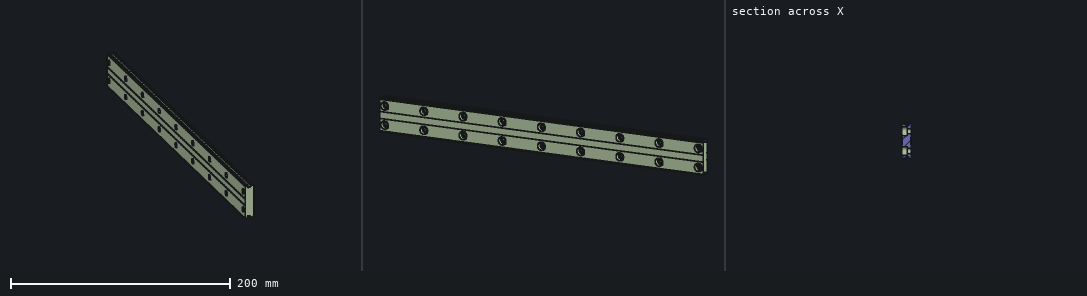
import cadquery as cq
import math

length = 330.0
thickness = 9.0
height = 33.0

lip_chamfer = 0.5
lip_top_width = 1.7
lip_wall_angle = 30.0

groove_depth = 2.25

tongue_y = 2.5
shoulder_drop = 1.63
seat_radius = 1.0
seat_offset_y = 1.5
seat_rise = 0.09

relief_width = 6.6
relief_depth = 0.2

hole_diameter = 4.5
counterbore_diameter = 7.5
counterbore_depth = 5.0
hole_pitch = 40.0
holes_per_row = 9
row_spacing = 18.0

front_y = -thickness / 2
back_y = thickness / 2
top_z = height / 2


def seat_point(angle):
    """Point on the front wire seat, at an angle in radians up from the seat's bottom."""
    seat_y = tongue_y - seat_offset_y
    seat_z = top_z + seat_rise
    return (seat_y + seat_radius * math.sin(angle), seat_z - seat_radius * math.cos(angle))


def across_tongue(point):
    """Mirror a profile point from one side of the tongue to the other."""
    y, z = point
    return (2 * tongue_y - y, z)


def upper_half_bar():
    """Upper half of the bar, from its middle plane to its top edge."""
    relief_z = relief_width / 2
    floor_z = top_z - groove_depth

    lip_top_y = front_y + lip_top_width
    lip_foot_y = lip_top_y + groove_depth * math.tan(math.radians(lip_wall_angle))

    rear_foot = (back_y, top_z - shoulder_drop)
    front_foot_y, front_foot_z = across_tongue(rear_foot)
    front_foot = (front_foot_y - (front_foot_z - floor_z), floor_z)

    seat_bottom_y, seat_bottom_z = seat_point(0)
    seat_centre_z = seat_bottom_z + seat_radius
    line_drop = (seat_centre_z - front_foot_z) - (seat_bottom_y - front_foot_y)
    start_angle = math.pi / 4 - math.acos(line_drop / (seat_radius * math.sqrt(2)))
    end_angle = math.acos(seat_rise / seat_radius)
    seat_start = seat_point(start_angle)
    seat_middle = seat_point((start_angle + end_angle) / 2)
    seat_end = seat_point(end_angle)

    return (
        cq.Workplane("YZ", origin=(-length / 2, 0, 0))
        .moveTo(front_y + relief_depth, 0)
        .lineTo(front_y + relief_depth, relief_z)
        .lineTo(front_y, relief_z)
        .lineTo(front_y, top_z - lip_chamfer)
        .lineTo(front_y + lip_chamfer, top_z)
        .lineTo(lip_top_y, top_z)
        .lineTo(lip_foot_y, floor_z)
        .lineTo(*front_foot)
        .lineTo(*seat_start)
        .threePointArc(seat_middle, seat_end)
        .lineTo(*across_tongue(seat_end))
        .threePointArc(across_tongue(seat_middle), across_tongue(seat_start))
        .lineTo(*rear_foot)
        .lineTo(back_y, relief_z)
        .lineTo(back_y - relief_depth, relief_z)
        .lineTo(back_y - relief_depth, 0)
        .close()
        .extrude(length)
    )


def make_bar():
    upper_half = upper_half_bar()
    return upper_half.union(upper_half.mirror("XY")).clean()


def hole_grid_cut(diameter, depth):
    """Cylinders at every mounting hole, sunk from the back face to the given depth."""
    return (
        cq.Workplane("XZ", origin=(0, back_y, 0))
        .rarray(hole_pitch, row_spacing, holes_per_row, 2)
        .circle(diameter / 2)
        .extrude(depth)
    )


through_holes = hole_grid_cut(hole_diameter, thickness)
counterbores = hole_grid_cut(counterbore_diameter, counterbore_depth)
result = make_bar().cut(through_holes).cut(counterbores)